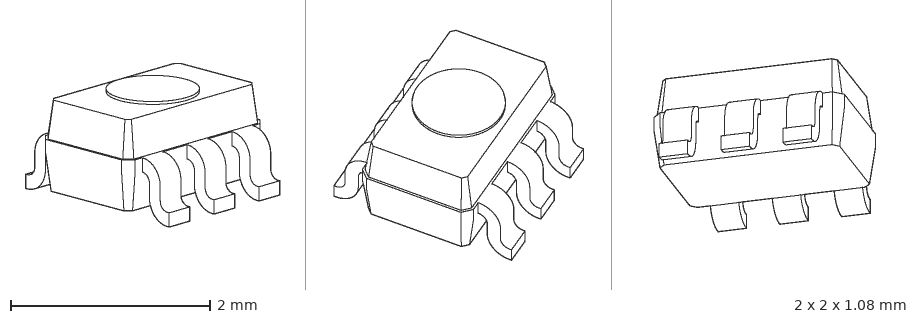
import cadquery as cq
import math

body_width = 1.25
body_length = 2.0
corner_chamfer = 0.095
body_bottom = 0.1
body_top = 1.05
draft_angle = 8.0
top_ledge = 0.025

pad_diameter = 0.938
pad_height = 0.03

lead_span = 2.0
lead_thickness = 0.15
lead_width = 0.3
lead_pitch = 0.65
leads_per_side = 3
lead_top = 0.65
inner_bend = 0.1
outer_bend = inner_bend + lead_thickness

band_top = lead_top
band_bottom = lead_top - lead_thickness


def body_slab(base_z, height, inset=0.0, draft=0.0):
    """Chamfered block from base_z, narrowing along the extrusion; a negative height goes down."""
    chamfer = corner_chamfer - inset * (2 - math.sqrt(2))
    outline = (
        cq.Sketch()
        .rect(body_width - 2 * inset, body_length - 2 * inset)
        .vertices()
        .chamfer(chamfer)
    )
    return cq.Workplane("XY", origin=(0, 0, base_z)).placeSketch(outline).extrude(height, taper=draft)


def make_body():
    band = body_slab(band_bottom, band_top - band_bottom)
    upper_half = body_slab(band_top, body_top - band_top, inset=top_ledge, draft=draft_angle)
    lower_half = body_slab(band_bottom, body_bottom - band_bottom, draft=draft_angle)
    return band.union(upper_half).union(lower_half)


def make_pad():
    return cq.Workplane("XY", origin=(0, 0, body_top)).circle(pad_diameter / 2).extrude(pad_height)


def make_lead(y):
    """S-shaped lead on the +X side, centred on the given Y."""
    body_side = body_width / 2
    toe = lead_span / 2
    leg_outer = body_side + outer_bend
    leg_inner = body_side + inner_bend
    shoulder_z = lead_top - outer_bend
    ankle_x = leg_outer + inner_bend
    ankle_z = outer_bend
    diagonal = math.sqrt(0.5)

    def bend_point(center_x, center_z, radius):
        """Middle of a quarter bend; a negative radius gives the bend facing -X and -Z."""
        return (center_x + radius * diagonal, center_z + radius * diagonal)

    profile = (
        cq.Workplane("XZ", origin=(0, y + lead_width / 2, 0))
        .moveTo(body_side, lead_top)
        .threePointArc(bend_point(body_side, shoulder_z, outer_bend), (leg_outer, shoulder_z))
        .lineTo(leg_outer, ankle_z)
        .threePointArc(bend_point(ankle_x, ankle_z, -inner_bend), (ankle_x, lead_thickness))
        .lineTo(toe, lead_thickness)
        .lineTo(toe, 0)
        .lineTo(ankle_x, 0)
        .threePointArc(bend_point(ankle_x, ankle_z, -outer_bend), (leg_inner, ankle_z))
        .lineTo(leg_inner, shoulder_z)
        .threePointArc(bend_point(body_side, shoulder_z, inner_bend), (body_side, band_bottom))
        .close()
    )
    return profile.extrude(lead_width)


result = make_body().union(make_pad())
for index in range(leads_per_side):
    lead_y = (index - (leads_per_side - 1) / 2) * lead_pitch
    lead = make_lead(lead_y)
    result = result.union(lead).union(lead.mirror("YZ"))